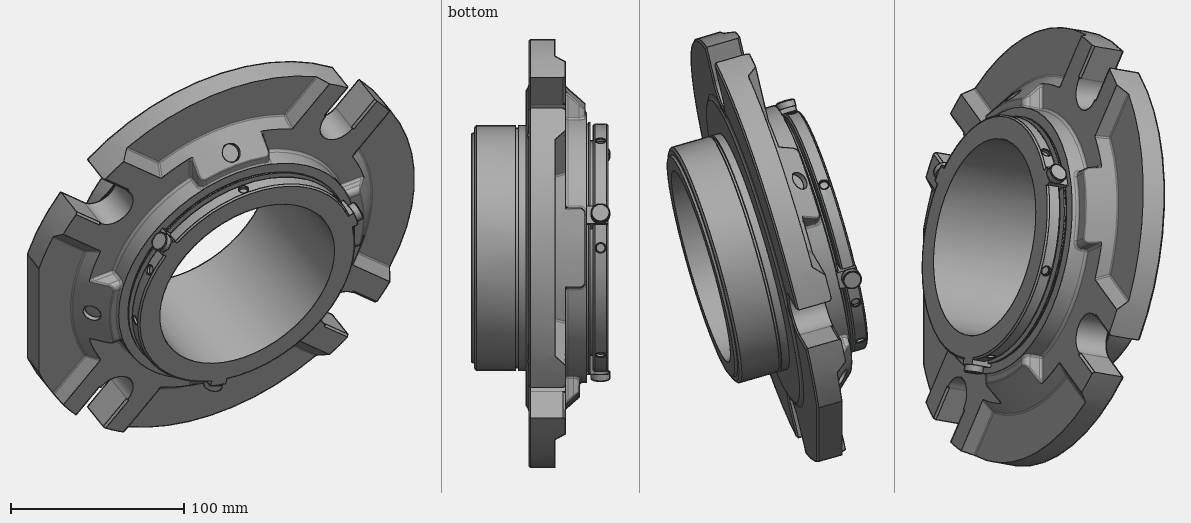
import cadquery as cq
import math


overall_length = 79.7
match_tolerance = 0.03

bore_dia = 115.0
sleeve_dia = 141.3
lip_root_dia = 133.2
lip_tip_dia = 131.7
lip_length = 1.5
shoulder_dia = 138.3
shoulder_length = 1.3
neck_start = 25.5
neck_width = 1.5
spigot_dia = 141.5
hub_dia = 123.8
rim_inner_dia = 142.9
rim_outer_dia = 144.5
rim_start = 67.2
rim_width = 1.0

flange_dia = 253.8
flange_back = 33.0
flange_thickness = 15.0
flange_front = flange_back + flange_thickness
flat_offset = 120.0
edge_chamfer = 1.0
face_ring_dia = 181.7
face_ring_height = 1.5
face_ring_bevel = 1.5
face_ring_step = 0.5

slot_angles = (45, 135, 225, 315)
slot_width = 24.9
slot_centre_radius = 104.5
lug_height = 6.0
lug_top_width = 56.0
lug_inner_radius = 71.0
slot_mouth_chamfer = 1.3
lug_front = flange_front + lug_height

cone_base_radius = 98.7
cone_angle = 42.0
gland_dia = 155.3
gland_front = 66.2
pad_front = 65.5
short_pad_front = 62.2
pad_width = 46.2
pad_corner_radius = 3.5
pad_edge_fillet = 1.0
root_fillet = 1.5
port_dia = 11.0
port_depth = 3.0
port_x_side = 57.3
port_x_top = 59.6

collar_dia = 142.9
collar_back = 70.0
collar_width = 8.6
collar_front = collar_back + collar_width
collar_chamfer = 1.0
clip_angles = (45, 165, 285)
clip_width = 10.5
clip_outer_radius = 74.0
clip_back = gland_front
clip_bolt_dia = 11.0
clip_bolt_face_dia = 10.0
clip_bolt_radius = 78.5
bolt_x = overall_length - clip_bolt_dia / 2
screw_angles = (0, 60, 90, 120, 180, 240, 300)
screw_x = collar_back + collar_width / 2
screw_mouth_dia = 6.0
screw_dia = 5.0
screw_depth = 2.0


def turn(points):
    """Revolve an (x, radius) outline about the X axis."""
    return cq.Workplane("XY").polyline(points).close().revolve(360, (0, 0, 0), (1, 0, 0))


def ring(x_start, x_end, diameter):
    """Plain disc on the X axis."""
    return cq.Workplane("YZ", origin=(x_start, 0, 0)).circle(diameter / 2).extrude(x_end - x_start)


def about_axis(body, angle):
    """Turn a feature built at +Z about the X axis; 90 degrees brings it to -Y."""
    return body.rotate((0, 0, 0), (1, 0, 0), angle)


def block(x_start, x_end, width, z_start, z_end):
    """Box centred on the XZ plane."""
    size = (x_end - x_start, width, z_end - z_start)
    return cq.Workplane("XY").box(*size, centered=(False, True, False)).translate((x_start, 0, z_start))


def fillet_roots(body, x, radius):
    """Fillet the inside edges that start at plane x and have an end at the given radius."""

    def is_root(edge):
        ends = (edge.startPoint(), edge.endPoint())
        on_plane = abs(min(end.x for end in ends) - x) < match_tolerance
        on_radius = any(abs(math.hypot(end.y, end.z) - radius) < match_tolerance for end in ends)
        return on_plane and on_radius

    return body.edges().filter(is_root).fillet(root_fillet)


def cone_radius(x):
    return cone_base_radius - (x - flange_front) * math.tan(math.radians(cone_angle))


def make_sleeve():
    neck_end = neck_start + neck_width
    outline = [
        (0, 0),
        (0, lip_tip_dia / 2),
        (lip_length, lip_root_dia / 2),
        (lip_length, shoulder_dia / 2),
        (lip_length + shoulder_length, sleeve_dia / 2),
        (neck_start, sleeve_dia / 2),
        (neck_start, shoulder_dia / 2),
        (neck_end, shoulder_dia / 2),
        (neck_end, spigot_dia / 2),
        (flange_back, spigot_dia / 2),
        (flange_back, 0),
    ]
    return turn(outline)


def make_lug():
    """Raised bar with 45 degree flanks, long enough to run past the flange rim."""
    half_top = lug_top_width / 2
    half_base = half_top + lug_height
    return (
        cq.Workplane("XY", origin=(0, 0, lug_inner_radius))
        .polyline([
            (flange_back, -half_base),
            (flange_front, -half_base),
            (lug_front, -half_top),
            (lug_front, half_top),
            (flange_front, half_base),
            (flange_back, half_base),
        ])
        .close()
        .extrude(flange_dia / 2)
    )


def make_slot():
    """Open-ended bolt slot with a round bottom, starting behind the face ring."""
    slot_back = flange_back - face_ring_height
    bottom = ring(slot_back, lug_front, slot_width).translate((0, 0, slot_centre_radius))
    sides = block(slot_back, lug_front, slot_width, slot_centre_radius, flange_dia)
    return bottom.union(sides)


def make_slot_mouth():
    """Wedge that breaks both front edges of a slot along the lugs."""
    half = slot_width / 2
    return (
        cq.Workplane("XY", origin=(0, 0, slot_centre_radius))
        .polyline([
            (lug_front - slot_mouth_chamfer, -half),
            (lug_front - slot_mouth_chamfer, half),
            (lug_front, half + slot_mouth_chamfer),
            (lug_front, -half - slot_mouth_chamfer),
        ])
        .close()
        .extrude(flange_dia / 2)
    )


def make_flange():
    """Flange with lugs, slots and flat, before its face ring is added."""
    flange = ring(flange_back, flange_front, 2 * flange_dia)
    for angle in slot_angles:
        flange = flange.union(about_axis(make_lug(), angle))
    flange = flange.intersect(ring(flange_back, lug_front, flange_dia))
    for angle in slot_angles:
        flange = flange.cut(about_axis(make_slot(), angle))
        flange = flange.cut(about_axis(make_slot_mouth(), angle))
    flat_cut = block(flange_back, lug_front, flange_dia, flat_offset, flange_dia)
    flange = flange.cut(about_axis(flat_cut, 90))
    return flange.faces("<X").chamfer(edge_chamfer)


def make_face_ring():
    face_ring_back = flange_back - face_ring_height
    return turn([
        (face_ring_back, 0),
        (face_ring_back, face_ring_dia / 2),
        (flange_back - face_ring_step, face_ring_dia / 2 + face_ring_bevel),
        (flange_back, face_ring_dia / 2 + 2 * face_ring_bevel),
        (flange_back, 0),
    ])


def make_pad(front):
    """Block trimmed by the cone, with rounded front corners and softened cone edges."""
    outer = block(flange_front, front, pad_width, 0, cone_base_radius)
    outer = outer.faces(">X").edges("|Z").fillet(pad_corner_radius)
    cone = turn([
        (flange_front, 0),
        (flange_front, cone_base_radius),
        (front, cone_radius(front)),
        (front, 0),
    ])
    return outer.intersect(cone).faces("%CONE").edges("not <X").fillet(pad_edge_fillet)


def make_port(x):
    """Blind hole square to the cone surface at the given x."""
    slope = math.radians(cone_angle)
    inward = cq.Vector(-math.sin(slope), 0, -math.cos(slope))
    mouth = cq.Vector(x, 0, cone_radius(x))
    start = mouth - inward * port_depth
    return cq.Workplane(cq.Solid.makeCylinder(port_dia / 2, 2 * port_depth, start, inward))


def make_gland():
    gland = turn([
        (flange_front, 0),
        (flange_front, cone_base_radius),
        (lug_front, cone_radius(lug_front)),
        (lug_front, gland_dia / 2),
        (gland_front, gland_dia / 2),
        (gland_front, rim_inner_dia / 2),
        (rim_start, rim_inner_dia / 2),
        (rim_start, rim_outer_dia / 2),
        (rim_start + rim_width, rim_outer_dia / 2),
        (rim_start + rim_width, 0),
    ])
    for angle in (0, 90, 180):
        gland = gland.union(about_axis(make_pad(pad_front), angle))
    return gland.union(about_axis(make_pad(short_pad_front), 270))


def make_collar():
    hub = ring(gland_front, collar_front, hub_dia)
    collar = ring(collar_back, collar_front, collar_dia).edges().chamfer(collar_chamfer)
    return hub.union(collar)


def make_clip():
    """Setting clip bridging the collar and gland, with its round bolt head."""
    clip = block(clip_back, collar_front, clip_width, hub_dia / 2, clip_outer_radius)
    head_chamfer = (clip_bolt_dia - clip_bolt_face_dia) / 2
    head = (
        cq.Workplane("XY", origin=(bolt_x, 0, clip_outer_radius))
        .circle(clip_bolt_dia / 2)
        .extrude(clip_bolt_radius - clip_outer_radius)
        .faces(">Z")
        .chamfer(head_chamfer)
    )
    return clip.union(head)


def make_screw_hole():
    """Blind set screw hole with a countersunk mouth."""
    rim = collar_dia / 2
    countersink = (screw_mouth_dia - screw_dia) / 2
    return (
        cq.Workplane("XZ", origin=(screw_x, 0, 0))
        .polyline([
            (0, rim - screw_depth),
            (screw_dia / 2, rim - screw_depth),
            (screw_dia / 2, rim - countersink),
            (screw_mouth_dia / 2, rim),
            (screw_mouth_dia / 2, rim + countersink),
            (0, rim + countersink),
        ])
        .close()
        .revolve(360, (0, 0, 0), (0, 1, 0))
    )


def make_housing():
    """Flange and gland body with slots, root fillets and ports."""
    housing = make_flange().union(make_face_ring()).union(make_gland())
    for angle in slot_angles:
        housing = housing.cut(about_axis(make_slot(), angle))
    housing = fillet_roots(housing, lug_front, gland_dia / 2)
    housing = fillet_roots(housing, flange_front, cone_base_radius)
    housing = housing.cut(make_port(port_x_top))
    return housing.cut(about_axis(make_port(port_x_side), 90))


result = make_sleeve().union(make_housing()).union(make_collar())
for clip_angle in clip_angles:
    result = result.union(about_axis(make_clip(), clip_angle))
for screw_angle in screw_angles:
    result = result.cut(about_axis(make_screw_hole(), screw_angle))
result = result.cut(ring(0, collar_front, bore_dia))